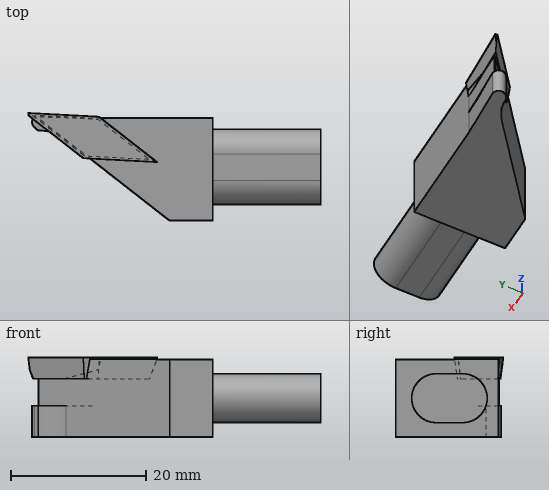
import cadquery as cq
import math

HEAD_HEIGHT = 11.5
HEAD_END_X = 27.35
HEAD_FRONT_Y = -7.95
HEAD_BACK_Y = 7.25
SLANT_START_X = 20.9
SLANT_ANGLE = 38.0
NOSE_SLANT_X = 1.6
NOSE_X, NOSE_Y = 1.5, 7.4
BACK_BEND_X = 9.95

SHANK_END_X = 43.3
SHANK_WIDTH = 11.17
SHANK_HEIGHT = 7.25

FOOT_HEIGHT = 4.68
FOOT_RADIUS = 1.05
FOOT_CENTER_X, FOOT_CENTER_Y = 1.6, 6.63
FOOT_FACET_ANGLE = 40.0
FOOT_FACET_LENGTH = 0.75
FOOT_BLEND_X = 5.55

INSERT_TOP_Z = 11.8
INSERT_THICKNESS = 3.15
INSERT_SIDE = 10.95
INSERT_TIP_ANGLE = 35.0
INSERT_TILT = 3.0
RELIEF_ANGLE = 7.0
INSERT_TIP_REACH = 0.48
INSERT_TIP_Y = 8.0


def offset_point(start, length, angle):
    """Point at a given distance from start, in a direction in degrees from +X."""
    direction = math.radians(angle)
    return (start[0] + length * math.cos(direction), start[1] + length * math.sin(direction))


def slant_point(x):
    """Point of the slanted side at the given X."""
    rise = (SLANT_START_X - x) * math.tan(math.radians(SLANT_ANGLE))
    return (x, HEAD_FRONT_Y + rise)


def make_head():
    return (
        cq.Workplane("XY")
        .moveTo(HEAD_END_X, HEAD_FRONT_Y)
        .lineTo(SLANT_START_X, HEAD_FRONT_Y)
        .lineTo(*slant_point(NOSE_SLANT_X))
        .lineTo(NOSE_X, NOSE_Y)
        .lineTo(BACK_BEND_X, HEAD_BACK_Y)
        .lineTo(HEAD_END_X, HEAD_BACK_Y)
        .close()
        .extrude(HEAD_HEIGHT)
    )


def make_shank():
    return (
        cq.Workplane("YZ", origin=(HEAD_END_X, 0, HEAD_HEIGHT / 2))
        .slot2D(SHANK_WIDTH, SHANK_HEIGHT)
        .extrude(SHANK_END_X - HEAD_END_X)
    )


def make_foot():
    center = (FOOT_CENTER_X, FOOT_CENTER_Y)
    facet_start = offset_point(center, FOOT_RADIUS, 270 - FOOT_FACET_ANGLE)
    facet_end = offset_point(facet_start, FOOT_FACET_LENGTH, -FOOT_FACET_ANGLE)
    return (
        cq.Workplane("XY")
        .moveTo(BACK_BEND_X, HEAD_BACK_Y)
        .lineTo(*slant_point(BACK_BEND_X))
        .lineTo(*slant_point(FOOT_BLEND_X))
        .tangentArcPoint(facet_end, relative=False)
        .lineTo(*facet_start)
        .threePointArc(offset_point(center, FOOT_RADIUS, 180), offset_point(center, FOOT_RADIUS, 90))
        .close()
        .extrude(FOOT_HEIGHT)
    )


def make_insert():
    tip = (-INSERT_TIP_REACH, INSERT_TIP_Y)
    rear = offset_point(tip, INSERT_SIDE, -INSERT_TILT)
    front = offset_point(tip, INSERT_SIDE, -INSERT_TILT - INSERT_TIP_ANGLE)
    heel = offset_point(rear, INSERT_SIDE, -INSERT_TILT - INSERT_TIP_ANGLE)
    plate = (
        cq.Workplane("XY", origin=(0, 0, INSERT_TOP_Z))
        .polyline([tip, rear, heel, front])
        .close()
        .extrude(-INSERT_THICKNESS, taper=RELIEF_ANGLE)
    )
    base_z = INSERT_TOP_Z - INSERT_THICKNESS
    flat_base_x = INSERT_THICKNESS * math.tan(math.radians(RELIEF_ANGLE))
    nose_cut = (
        cq.Workplane("XZ")
        .polyline([(0, INSERT_TOP_Z), (flat_base_x, base_z), (tip[0], base_z), (tip[0], INSERT_TOP_Z)])
        .close()
        .extrude(INSERT_SIDE, both=True)
    )
    return plate.cut(nose_cut)


insert = make_insert()
holder = make_head().union(make_shank()).union(make_foot()).cut(insert)

result = cq.Compound.makeCompound([*holder.solids().vals(), *insert.solids().vals()])